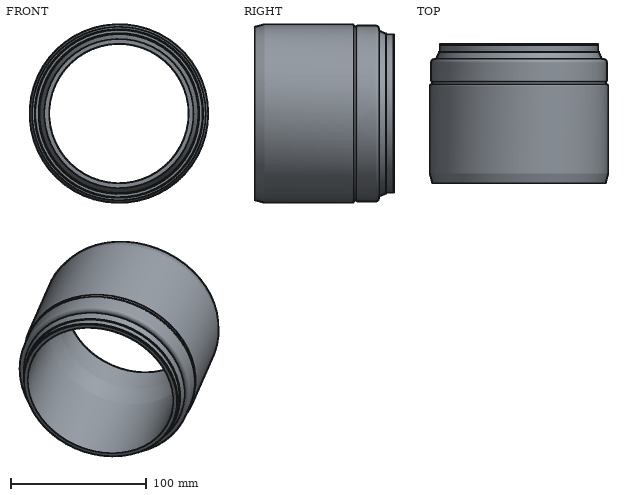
import cadquery as cq
import math

length = 103.0

spigot_bore_radius = 51.3
spigot_radius = 55.0
pipe_bore_radius = 55.3
pipe_radius = 58.6
flare_start = 22.0
flare_angle = 15.0
pipe_end_bevel_length = 0.9
pipe_end_bevel_depth = 0.4

sleeve_radius = 66.0
sleeve_bore_radius = 62.3
rim_taper_length = 7.1
rim_radius = 64.0
sleeve_end = 73.0
sleeve_edge_round = 1.0

collar_radius = 130.0 / 2
collar_start = 74.8
collar_edge_round = 1.3
collar_shoulder = 91.7
collar_shoulder_round = 2.6
neck_base_radius = 61.2
neck_top_radius = 59.1
neck_land = 0.4
neck_end = 97.0
collar_bore_radius = 123.4 / 2
collar_bore_end = 88.2
relief_radius = 59.4
relief_end = 90.8

flare_length = (pipe_bore_radius - spigot_bore_radius) / math.tan(math.radians(flare_angle))
flare_end = flare_start + flare_length


def revolve_ring(profile):
    """Close a profile of (radius, Y) points and revolve it about the Y axis."""
    return profile.close().revolve(360, (0, 0, 0), (0, 1, 0))


def corner_middle(radius, face, size, face_side):
    """Midpoint of a quarter round where an outside wall meets an end face.

    face_side is 1 for a face looking toward +Y and -1 for one looking toward -Y.
    """
    inset = size * (1 - math.sqrt(0.5))
    return (radius - inset, face - face_side * inset)


def make_pipe():
    """Inner pipe with its narrow spigot and conical flare."""
    profile = (
        cq.Workplane("XY")
        .moveTo(spigot_bore_radius, 0)
        .lineTo(spigot_radius, 0)
        .lineTo(spigot_radius, flare_start)
        .lineTo(pipe_radius, flare_end)
        .lineTo(pipe_radius, length - pipe_end_bevel_length)
        .lineTo(pipe_radius - pipe_end_bevel_depth, length)
        .lineTo(pipe_bore_radius, length)
        .lineTo(pipe_bore_radius, flare_end)
        .lineTo(spigot_bore_radius, flare_start)
    )
    return revolve_ring(profile)


def make_jacket():
    """Sleeve, notch and collar in one ring, closed onto the pipe at the neck."""
    profile = (
        cq.Workplane("XY")
        .moveTo(sleeve_bore_radius, 0)
        .lineTo(rim_radius, 0)
        .lineTo(sleeve_radius, rim_taper_length)
        .lineTo(sleeve_radius, sleeve_end - sleeve_edge_round)
        .threePointArc(
            corner_middle(sleeve_radius, sleeve_end, sleeve_edge_round, 1),
            (sleeve_radius - sleeve_edge_round, sleeve_end),
        )
        .lineTo(collar_radius - collar_edge_round, collar_start)
        .threePointArc(
            corner_middle(collar_radius, collar_start, collar_edge_round, -1),
            (collar_radius, collar_start + collar_edge_round),
        )
        .lineTo(collar_radius, collar_shoulder - collar_shoulder_round)
        .threePointArc(
            corner_middle(collar_radius, collar_shoulder, collar_shoulder_round, 1),
            (collar_radius - collar_shoulder_round, collar_shoulder),
        )
        .lineTo(neck_base_radius, collar_shoulder)
        .lineTo(neck_top_radius, neck_end - neck_land)
        .lineTo(neck_top_radius, neck_end)
        .lineTo(pipe_radius, neck_end)
        .lineTo(pipe_radius, relief_end)
        .lineTo(relief_radius, relief_end)
        .lineTo(relief_radius, collar_bore_end)
        .lineTo(collar_bore_radius, collar_bore_end)
        .lineTo(collar_bore_radius, sleeve_end)
        .lineTo(sleeve_bore_radius, sleeve_end)
    )
    return revolve_ring(profile)


result = make_pipe().union(make_jacket())